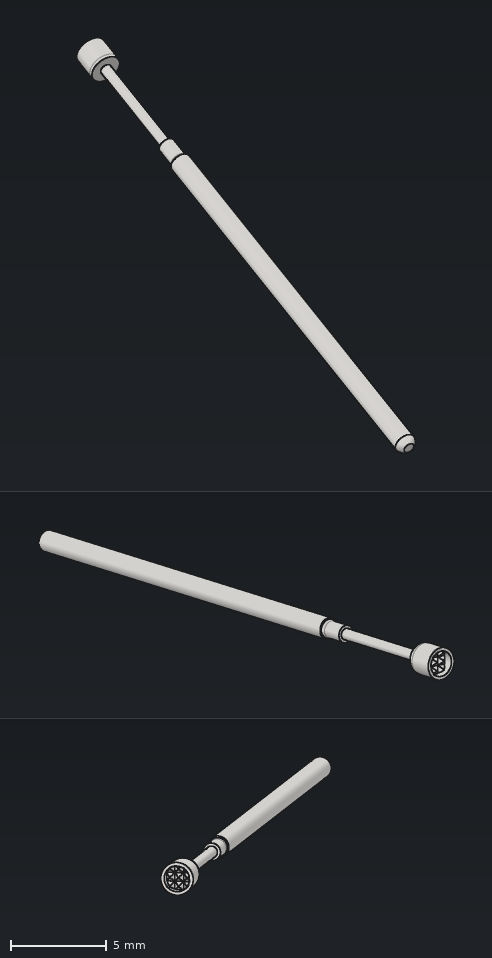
import cadquery as cq

LENGTH = 33.35
X_FRONT = -LENGTH / 2
X_BACK = LENGTH / 2

HEAD_DIAMETER = 1.77
HEAD_LENGTH = 1.57
HEAD_BACK_CHAMFER_LENGTH = 0.2
HEAD_BACK_CHAMFER_DEPTH = 0.05
CUP_DIAMETER = 1.37
CUP_DEPTH = 0.35

GROOVE_PITCH = 0.47
GROOVE_DEPTH = 0.25
GROOVES_PER_DIRECTION = 4

ROD_DIAMETER = 0.65
ROD_INSERTION = 2.67

NECK_START = 7.97
NECK_DIAMETER = 0.97
NECK_LENGTH = 1.25
CRIMP_LENGTH = 0.2
CRIMP_END_DIAMETER = 1.05
TUBE_DIAMETER = 1.2
TAIL_LENGTH = 0.4
TAIL_TIP_DIAMETER = 0.6
TAIL_ARC_RADIUS = 0.6

HEAD_BACK = X_FRONT + HEAD_LENGTH
CUP_FLOOR = X_FRONT + CUP_DEPTH
BARREL_FRONT = X_FRONT + NECK_START
NECK_END = BARREL_FRONT + NECK_LENGTH
TUBE_START = NECK_END + CRIMP_LENGTH
TAIL_START = X_BACK - TAIL_LENGTH
ROD_END = BARREL_FRONT + ROD_INSERTION


def cylinder(x_start, x_end, diameter):
    """Solid cylinder on the X axis between two stations."""
    return cq.Workplane("YZ", origin=(x_start, 0, 0)).circle(diameter / 2).extrude(x_end - x_start)


def v_groove(offset):
    """V-shaped bar along Z that cuts into the cup floor at a Y offset."""
    return (
        cq.Workplane("XY", origin=(0, 0, -CUP_DIAMETER / 2))
        .moveTo(CUP_FLOOR, offset - GROOVE_PITCH / 2)
        .lineTo(CUP_FLOOR + GROOVE_DEPTH, offset)
        .lineTo(CUP_FLOOR, offset + GROOVE_PITCH / 2)
        .close()
        .extrude(CUP_DIAMETER)
    )


def serrations():
    """Crossed V grooves, trimmed to the bore of the cup."""
    bore = cylinder(CUP_FLOOR, CUP_FLOOR + GROOVE_DEPTH, CUP_DIAMETER)
    cutters = cq.Workplane("XY")
    for index in range(GROOVES_PER_DIRECTION):
        offset = (index - (GROOVES_PER_DIRECTION - 1) / 2) * GROOVE_PITCH
        groove = v_groove(offset)
        cutters = cutters.add(groove)
        cutters = cutters.add(groove.rotate((0, 0, 0), (1, 0, 0), 90))
    return cutters.combine().intersect(bore)


def make_plunger():
    """Cupped, serrated head and the rod that slides in the barrel."""
    head = (
        cylinder(X_FRONT, HEAD_BACK, HEAD_DIAMETER)
        .faces(">X")
        .chamfer(HEAD_BACK_CHAMFER_LENGTH, HEAD_BACK_CHAMFER_DEPTH)
    )
    cup = cylinder(X_FRONT, CUP_FLOOR, CUP_DIAMETER)
    rod = cylinder(HEAD_BACK, ROD_END, ROD_DIAMETER)
    return head.cut(cup).cut(serrations()).union(rod)


def barrel_blank():
    """Revolved neck, flared crimp, tube and tail, before boring."""
    return (
        cq.Workplane("XY")
        .moveTo(BARREL_FRONT, 0)
        .lineTo(BARREL_FRONT, NECK_DIAMETER / 2)
        .lineTo(NECK_END, NECK_DIAMETER / 2)
        .lineTo(TUBE_START, CRIMP_END_DIAMETER / 2)
        .lineTo(TUBE_START, TUBE_DIAMETER / 2)
        .lineTo(TAIL_START, TUBE_DIAMETER / 2)
        .radiusArc((X_BACK, TAIL_TIP_DIAMETER / 2), TAIL_ARC_RADIUS)
        .lineTo(X_BACK, 0)
        .close()
        .revolve(360, (0, 0, 0), (1, 0, 0))
    )


def make_barrel():
    """Stepped barrel with a rounded tail and a blind bore for the rod."""
    bore = cylinder(BARREL_FRONT, ROD_END, ROD_DIAMETER)
    return barrel_blank().cut(bore)


plunger = make_plunger()
barrel = make_barrel()

result = cq.Compound.makeCompound([plunger.val(), barrel.val()])